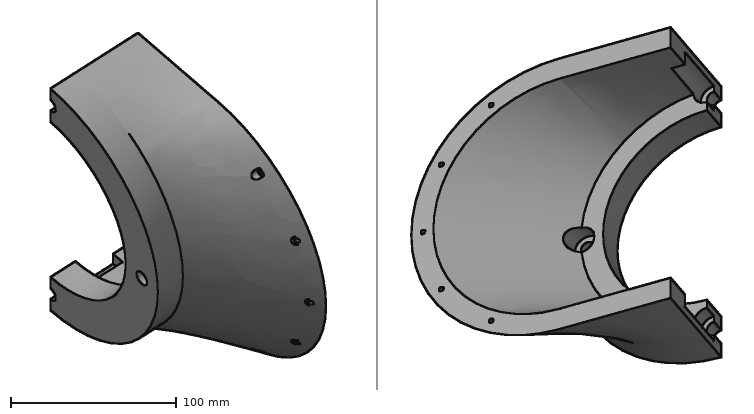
import cadquery as cq
import math

outer_radius = 100.0
bore_radius = 70.0
ring_depth = 20.0
total_depth = 70.0
flare_reach = 75.0
wall = 15.0

bolt_diameter = 9.8
bolt_head_diameter = 18.0
bolt_seat_depth = 10.0
bolt_head_length = 40.0
bolt_circle_radius = outer_radius - wall

pin_diameter = 3.0
pin_head_diameter = 6.0
pin_circle_radius = 92.0
pin_seat_depth = 64.0
pin_spacing = 30.0

outer_fan_angle = 54.0
inner_fan_angle = 48.8


def point_on_circle(radius, degrees, center_x=0.0):
    """Point in the XZ plane, with the angle measured from +X."""
    angle = math.radians(degrees)
    return center_x + radius * math.cos(angle), radius * math.sin(angle)


def cylinder(diameter, x, z, start, end):
    """Cylinder along Y between two depths."""
    profile = cq.Workplane("XZ", origin=(0, start, 0)).center(x, z).circle(diameter / 2)
    return profile.extrude(start - end)


def half_ring():
    ring = cq.Workplane("XZ").circle(outer_radius).circle(bore_radius).extrude(-ring_depth)
    size = 2 * outer_radius
    keep = cq.Workplane("XY").box(size, size, size).translate((outer_radius, 0, 0))
    return ring.intersect(keep)


def flared_body(radius, fan_angle):
    """Ruled body from a half disc to a half disc stretched sideways by flat sides."""
    narrow = (
        cq.Workplane("XZ", origin=(0, ring_depth, 0))
        .moveTo(0, -radius)
        .threePointArc(point_on_circle(radius, -(90 + fan_angle) / 2), point_on_circle(radius, -fan_angle))
        .threePointArc((radius, 0), point_on_circle(radius, fan_angle))
        .threePointArc(point_on_circle(radius, (90 + fan_angle) / 2), (0, radius))
        .close()
    )
    wide = (
        cq.Workplane("XZ", origin=(0, total_depth, 0))
        .moveTo(0, -radius)
        .lineTo(flare_reach, -radius)
        .threePointArc((flare_reach + radius, 0), (flare_reach, radius))
        .lineTo(0, radius)
        .close()
    )
    return cq.Workplane(cq.Solid.makeLoft([narrow.val(), wide.val()], True))


def bolt_hole(degrees):
    x, z = point_on_circle(bolt_circle_radius, degrees)
    shank = cylinder(bolt_diameter, x, z, 0, bolt_seat_depth)
    head = cylinder(bolt_head_diameter, x, z, bolt_seat_depth, bolt_seat_depth + bolt_head_length)
    return shank.union(head)


def pin_hole(degrees):
    x, z = point_on_circle(pin_circle_radius, degrees, flare_reach)
    shank = cylinder(pin_diameter, x, z, ring_depth, total_depth)
    head = cylinder(pin_head_diameter, x, z, ring_depth, pin_seat_depth)
    return shank.union(head)


hood = flared_body(outer_radius, outer_fan_angle).cut(flared_body(outer_radius - wall, inner_fan_angle))
result = half_ring().union(hood)

for bolt_angle in (-90, 0, 90):
    result = result.cut(bolt_hole(bolt_angle))

for step in range(-2, 3):
    result = result.cut(pin_hole(step * pin_spacing))